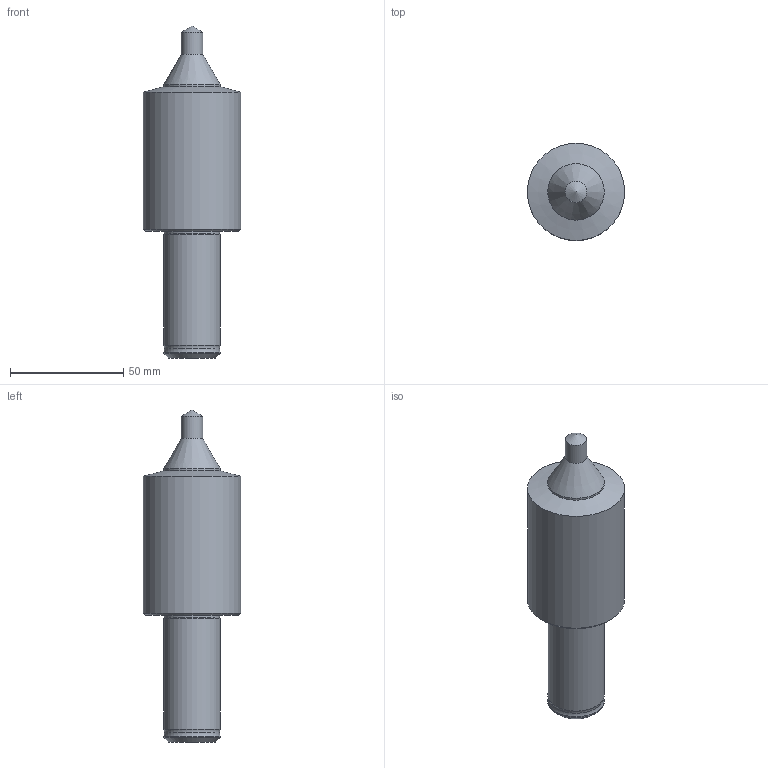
import cadquery as cq
import math

total_height = 146.9

shank_radius = 12.5
end_chamfer = 2.0
groove_bottom = 2.6
groove_radius = 12.2
groove_middle = 4.3
groove_top = 5.7
shank_top = 54.7

neck_radius = 12.2
neck_bottom = 55.0

body_radius = 21.5
body_bottom = 56.0
body_chamfer = 1.0
shoulder_angle = 15.0

collar_radius = 12.5
collar_bottom = 120.0
collar_top = 121.0
cone_half_angle = 30.0
tip_radius = 4.75
tip_half_angle = 60.0

shoulder_rise = (body_radius - collar_radius) * math.tan(math.radians(shoulder_angle))
body_top = collar_bottom - shoulder_rise
cone_rise = (collar_radius - tip_radius) / math.tan(math.radians(cone_half_angle))
cone_top = collar_top + cone_rise
tip_rise = tip_radius / math.tan(math.radians(tip_half_angle))
tip_shoulder = total_height - tip_rise


def shank_end_profile():
    """Radius and height points of the chamfered shank end."""
    return [
        (shank_radius - end_chamfer, 0),
        (shank_radius, end_chamfer),
    ]


def shank_profile():
    """Radius and height points of the shank, from the top of its cylinder to the body."""
    return [
        (shank_radius, shank_top),
        (neck_radius, neck_bottom),
        (neck_radius, body_bottom),
    ]


def body_profile():
    """Radius and height points of the body, from its lower chamfer to its sloped shoulder."""
    return [
        (body_radius - body_chamfer, body_bottom),
        (body_radius, body_bottom + body_chamfer),
        (body_radius, body_top),
    ]


def point_profile():
    """Radius and height points of the collar, the steep cone and the pointed tip."""
    return [
        (collar_radius, collar_bottom),
        (collar_radius, collar_top),
        (tip_radius, cone_top),
        (tip_radius, tip_shoulder),
        (0, total_height),
    ]


def groove_arc_middle(end):
    """Middle of the concave arc that starts upright at the groove's deepest point and runs to end."""
    end_radius, end_height = end
    depth = end_radius - groove_radius
    rise = end_height - groove_middle
    arc_radius = (rise**2 + depth**2) / (2 * depth)
    half_sweep = math.asin(rise / arc_radius) / 2
    middle_radius = groove_radius + arc_radius * (1 - math.cos(half_sweep))
    return (middle_radius, groove_middle + arc_radius * math.sin(half_sweep))


groove_start = (shank_radius, groove_bottom)
groove_deepest = (groove_radius, groove_middle)
groove_end = (shank_radius, groove_top)
upper_profile = shank_profile() + body_profile() + point_profile()

outline = (
    cq.Workplane("XZ")
    .polyline([(0, 0)] + shank_end_profile())
    .lineTo(*groove_start)
    .threePointArc(groove_arc_middle(groove_start), groove_deepest)
    .threePointArc(groove_arc_middle(groove_end), groove_end)
    .polyline(upper_profile, includeCurrent=True)
    .close()
)
result = outline.revolve(360, (0, 0), (0, 1))